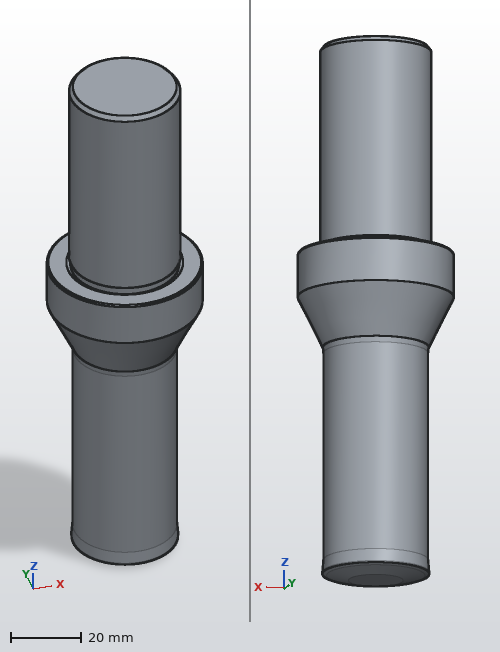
import cadquery as cq

TOTAL_HEIGHT = 155.6
NECK_TOP_Z = 97.0
COLLAR_TOP_Z = 95.4
COLLAR_BOTTOM_Z = 82.6
TAPER_END_Z = 68.0
STEM_TOP_Z = 66.3
FLARE_START_Z = 5.9
FLARE_END_Z = 2.3
RIM_BOTTOM_Z = 1.9
END_CONE_TOP_Z = 1.4

SHANK_RADIUS = 15.9
NECK_RADIUS = 15.5
RELIEF_RADIUS = 16.6
COLLAR_RADIUS = 22.2
TAPER_END_RADIUS = 15.1
STEM_RADIUS = 15.0
RIM_RADIUS = 15.2
END_CONE_RADIUS = 14.0
END_FACE_RADIUS = 7.8

SHANK_CHAMFER_WIDTH = 1.1
SHANK_CHAMFER_HEIGHT = 1.4
SHANK_LOWER_CHAMFER = 0.3
COLLAR_CHAMFER = 0.5
RELIEF_DEPTH = 0.5


def revolve_profile(points):
    """Revolve a closed (radius, height) outline about the Z axis."""
    return cq.Workplane("XZ").polyline(points).close().revolve(360, (0, 0), (0, 1))


def make_holder():
    """Straight shank with an undercut neck above a wide collar."""
    return revolve_profile([
        (0, COLLAR_BOTTOM_Z),
        (COLLAR_RADIUS, COLLAR_BOTTOM_Z),
        (COLLAR_RADIUS, COLLAR_TOP_Z - COLLAR_CHAMFER),
        (COLLAR_RADIUS - COLLAR_CHAMFER, COLLAR_TOP_Z),
        (RELIEF_RADIUS, COLLAR_TOP_Z),
        (NECK_RADIUS, COLLAR_TOP_Z - RELIEF_DEPTH),
        (NECK_RADIUS, NECK_TOP_Z),
        (SHANK_RADIUS, NECK_TOP_Z + SHANK_LOWER_CHAMFER),
        (SHANK_RADIUS, TOTAL_HEIGHT - SHANK_CHAMFER_HEIGHT),
        (SHANK_RADIUS - SHANK_CHAMFER_WIDTH, TOTAL_HEIGHT),
        (0, TOTAL_HEIGHT),
    ])


def make_stem():
    """Tapered head and long stem, flaring to a rim over a shallow end cone."""
    return revolve_profile([
        (0, 0),
        (END_FACE_RADIUS, 0),
        (END_CONE_RADIUS, END_CONE_TOP_Z),
        (RIM_RADIUS, RIM_BOTTOM_Z),
        (RIM_RADIUS, FLARE_END_Z),
        (STEM_RADIUS, FLARE_START_Z),
        (STEM_RADIUS, STEM_TOP_Z),
        (TAPER_END_RADIUS, TAPER_END_Z),
        (COLLAR_RADIUS, COLLAR_BOTTOM_Z),
        (0, COLLAR_BOTTOM_Z),
    ])


holder = make_holder()
stem = make_stem()

result = cq.Compound.makeCompound([holder.val(), stem.val()])